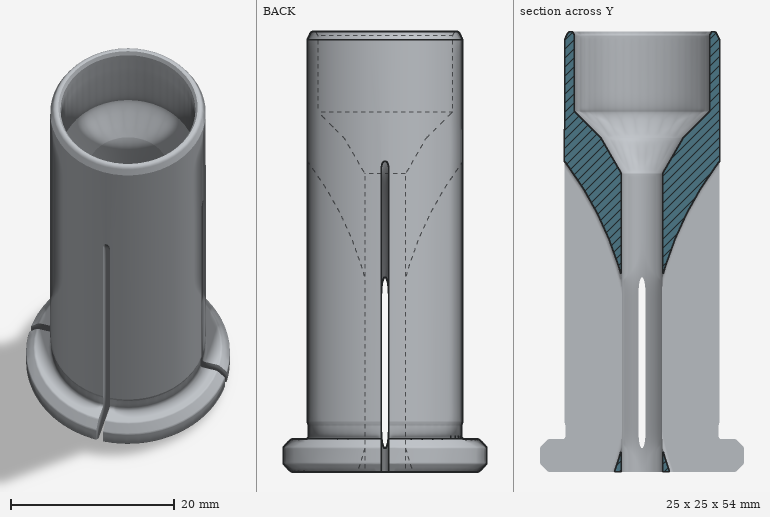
import cadquery as cq

height = 54.0
flange_radius = 25.0 / 2
flange_height = 4.05
flange_chamfer = 1.0
flange_edge_fillet = 0.3

body_radius = 19.05 / 2
rim_chamfer_width = 0.5
rim_chamfer_height = 1.0
rim_fillet = 0.5

neck_radius = 9.4
neck_fillet = 0.3
neck_top = 5.7
neck_taper_height = 0.5

cup_radius = 16.5 / 2
cup_floor_height = 44.15
mouth_chamfer_width = 0.25
mouth_chamfer_height = 0.5
step_radius = 10.0 / 2
bore_radius = 5.0 / 2
step_height = cup_floor_height - (cup_radius - step_radius)
bore_top = step_height - (step_radius - bore_radius) * 3 ** 0.5

slot_count = 4
slot_width = 0.85
saw_radius = 40.5
saw_center_height = 13.4
saw_center_distance = 41.65


def flange():
    """Disc at the foot, chamfered on both sides, with its edges rounded."""
    blank = cq.Workplane("XY").circle(flange_radius).extrude(flange_height)
    chamfered = blank.edges().chamfer(flange_chamfer)
    return chamfered.edges("%CIRCLE").fillet(flange_edge_fillet)


def neck():
    """Relief neck that widens by a fillet into the flange and by a taper into the body."""
    root_radius = neck_radius + neck_fillet
    root_top = flange_height + neck_fillet
    return (
        cq.Workplane("XZ")
        .lineTo(root_radius, 0)
        .lineTo(root_radius, flange_height)
        .radiusArc((neck_radius, root_top), neck_fillet)
        .lineTo(neck_radius, neck_top)
        .lineTo(body_radius, neck_top + neck_taper_height)
        .lineTo(0, neck_top + neck_taper_height)
        .close()
        .revolve(360, (0, 0, 0), (0, 1, 0))
    )


def body():
    """Long cylinder with a steep chamfer and a rounded edge at its open end."""
    foot = neck_top + neck_taper_height
    cylinder = cq.Workplane("XY").workplane(offset=foot).circle(body_radius).extrude(height - foot)
    chamfered = cylinder.faces(">Z").chamfer(rim_chamfer_height, rim_chamfer_width)
    return chamfered.faces(">Z").edges().fillet(rim_fillet)


def cavity():
    """Cup that narrows through two cones to the through bore."""
    return (
        cq.Workplane("XZ")
        .lineTo(bore_radius, 0)
        .lineTo(bore_radius, bore_top)
        .lineTo(step_radius, step_height)
        .lineTo(cup_radius, cup_floor_height)
        .lineTo(cup_radius, height - mouth_chamfer_height)
        .lineTo(cup_radius + mouth_chamfer_width, height)
        .lineTo(0, height)
        .close()
        .revolve(360, (0, 0, 0), (0, 1, 0))
    )


def saw_disc():
    """Disc with a full-round edge, standing upright on the +X side of the sleeve."""
    edge_radius = slot_width / 2
    flat_radius = saw_radius - edge_radius
    return (
        cq.Workplane("XY")
        .moveTo(0, -edge_radius)
        .lineTo(flat_radius, -edge_radius)
        .threePointArc((saw_radius, 0), (flat_radius, edge_radius))
        .lineTo(0, edge_radius)
        .close()
        .revolve(360, (0, 0, 0), (0, 1, 0))
        .translate((saw_center_distance, 0, saw_center_height))
    )


result = flange().union(neck()).union(body()).cut(cavity())
for index in range(slot_count):
    angle = index * 360 / slot_count
    result = result.cut(saw_disc().rotate((0, 0, 0), (0, 0, 1), angle))